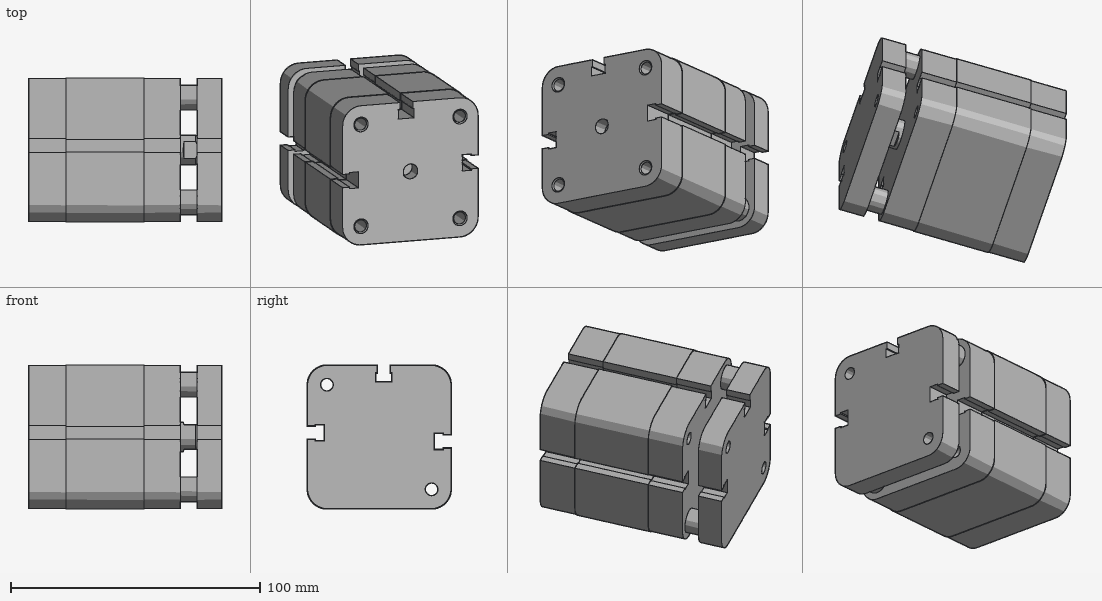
import cadquery as cq


OVERALL_LENGTH = 77.5
REAR_CAP_LENGTH = 14.9
TUBE_LENGTH = 31.3
FRONT_CAP_LENGTH = 14.65
PLATE_THICKNESS = 9.9
HOUSING_LENGTH = REAR_CAP_LENGTH + TUBE_LENGTH + FRONT_CAP_LENGTH
PLATE_START = OVERALL_LENGTH - PLATE_THICKNESS
ROD_LENGTH = PLATE_START - HOUSING_LENGTH

TUBE_WIDTH = 58.0
SETBACK = 0.2
TUBE_CORNER_RADIUS = 8.05

SLOT_MOUTH_WIDTH = 5.0
SLOT_BASE_WIDTH = 6.2
SLOT_DEPTH = 6.75
SLOT_LIP_DEPTH = 3.4
SLOT_OFFSET = 1.8
SLOT_OVERCUT = 0.8
SLOT_ANGLES = (-90, 0, 90)

CORNER_DISTANCE = 21.0
HOLE_DIAMETER = 4.95
HOLE_CHAMFER = 0.55
CENTRE_HOLE_DIAMETER = 6.1
CENTRE_HOLE_DEPTH = 7.0

GUIDE_ROD_DIAMETER = 10.0
PISTON_ROD_DIAMETER = 12.0
PISTON_ROD_CHAMFER = 0.55
FLATS_WIDTH = 10.0
RAMP_START = 1.2
FLAT_START = 1.55

GUIDE_CORNERS = [(CORNER_DISTANCE, CORNER_DISTANCE), (-CORNER_DISTANCE, -CORNER_DISTANCE)]
OPEN_CORNERS = [(-CORNER_DISTANCE, CORNER_DISTANCE), (CORNER_DISTANCE, -CORNER_DISTANCE)]


def section_plane(x):
    """YZ plane at x, with local axes Y and Z and its normal along +X."""
    return cq.Workplane("YZ", origin=(x, 0, 0))


def make_slot(start, length, setback):
    """Cutter for the slot in the +Z side, its walls moved outward by the setback."""
    half_mouth = SLOT_MOUTH_WIDTH / 2
    half_base = SLOT_BASE_WIDTH / 2
    outside = TUBE_WIDTH / 2 + SLOT_OVERCUT
    lip_end = TUBE_WIDTH / 2 - SLOT_LIP_DEPTH
    floor = TUBE_WIDTH / 2 - SLOT_DEPTH
    outline = [
        (half_mouth, outside),
        (half_mouth, lip_end),
        (half_base, lip_end),
        (half_base, floor),
        (-half_base, floor),
        (-half_base, lip_end),
        (-half_mouth, lip_end),
        (-half_mouth, outside),
    ]
    slot = section_plane(start).polyline(outline).close()
    if setback > 0:
        slot = slot.offset2D(setback, "intersection")
    return slot.extrude(length).translate((0, SLOT_OFFSET, 0))


def make_slotted_block(start, length, setback):
    """Round-cornered square bar with a slot in each of its +Z, -Y and +Y sides."""
    width = TUBE_WIDTH - 2 * setback
    block = section_plane(start).rect(width, width).extrude(length)
    block = block.edges("|X").fillet(TUBE_CORNER_RADIUS - setback)
    slot = make_slot(start, length, setback)
    for angle in SLOT_ANGLES:
        block = block.cut(slot.rotate((0, 0, 0), (1, 0, 0), angle))
    return block


def drill(body, start, length, centres):
    """Cut straight mounting holes along X."""
    holes = section_plane(start).pushPoints(centres).circle(HOLE_DIAMETER / 2).extrude(length)
    return body.cut(holes)


def make_housing():
    rear_cap = make_slotted_block(0, REAR_CAP_LENGTH, SETBACK)
    tube = make_slotted_block(REAR_CAP_LENGTH, TUBE_LENGTH, 0)
    front_cap = make_slotted_block(REAR_CAP_LENGTH + TUBE_LENGTH, FRONT_CAP_LENGTH, SETBACK)
    housing = rear_cap.union(tube).union(front_cap)

    corners = OPEN_CORNERS + GUIDE_CORNERS
    housing = drill(housing, 0, HOUSING_LENGTH, corners)
    for y, z in corners:
        countersink = cq.Solid.makeCone(
            HOLE_DIAMETER / 2 + HOLE_CHAMFER,
            HOLE_DIAMETER / 2,
            HOLE_CHAMFER,
            pnt=cq.Vector(0, y, z),
            dir=cq.Vector(1, 0, 0),
        )
        housing = housing.cut(cq.Workplane(countersink))

    centre_hole = section_plane(0).circle(CENTRE_HOLE_DIAMETER / 2).extrude(CENTRE_HOLE_DEPTH)
    return housing.cut(centre_hole)


def make_piston_rod():
    """Round rod chamfered at the plate, with two wrench flats facing +Z and -Z."""
    radius = PISTON_ROD_DIAMETER / 2
    rod = section_plane(HOUSING_LENGTH).circle(radius).extrude(ROD_LENGTH)
    rod = rod.faces(">X").chamfer(PISTON_ROD_CHAMFER)
    flat_cut = (
        cq.Workplane("XZ", origin=(HOUSING_LENGTH, 0, 0))
        .moveTo(RAMP_START, radius)
        .lineTo(FLAT_START, FLATS_WIDTH / 2)
        .lineTo(ROD_LENGTH, FLATS_WIDTH / 2)
        .lineTo(ROD_LENGTH, radius)
        .close()
        .extrude(radius, both=True)
    )
    return rod.cut(flat_cut).cut(flat_cut.mirror("XY"))


def make_guide_rod(y, z):
    """Plain round rod from the housing front to the plate."""
    return section_plane(HOUSING_LENGTH).center(y, z).circle(GUIDE_ROD_DIAMETER / 2).extrude(ROD_LENGTH)


def make_plate():
    plate = make_slotted_block(PLATE_START, PLATE_THICKNESS, SETBACK)
    return drill(plate, PLATE_START, PLATE_THICKNESS, OPEN_CORNERS)


housing = make_housing()
piston_rod = make_piston_rod()
guide_rods = [make_guide_rod(y, z) for y, z in GUIDE_CORNERS]
plate = make_plate()

result = cq.Compound.makeCompound(
    [housing.val(), piston_rod.val(), *[rod.val() for rod in guide_rods], plate.val()]
)